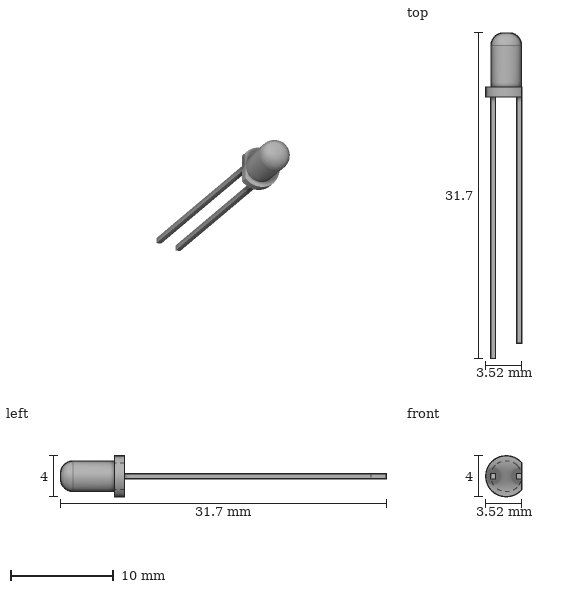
import cadquery as cq


body_radius = 1.5
body_height = 6.25
dome_radius = 1.25

flange_radius = 2.0
flange_thickness = 1.0

lead_pitch = 2.54
lead_width = 0.5
anode_length = 25.4
cathode_length = 23.9

flat_x = lead_pitch / 2 + lead_width / 2


def back_plane():
    """Sketch plane at Y = 0; positive extrusions go toward -Y."""
    return cq.Workplane("XZ")


def make_lens():
    lens = back_plane().circle(body_radius).extrude(-body_height)
    return lens.faces(">Y").edges().fillet(dome_radius)


def make_flange():
    disc = back_plane().circle(flange_radius).extrude(-flange_thickness)
    kept_width = flange_radius + flat_x
    kept_side = cq.Workplane("XY").box(
        kept_width, flange_thickness, 2 * flange_radius, centered=(False, False, True)
    ).translate((-flange_radius, 0, 0))
    return disc.intersect(kept_side)


def make_lead(center_x, length):
    return back_plane().center(center_x, 0).rect(lead_width, lead_width).extrude(length)


anode = make_lead(-lead_pitch / 2, anode_length)
cathode = make_lead(lead_pitch / 2, cathode_length)

result = make_flange().union(make_lens()).union(anode).union(cathode)